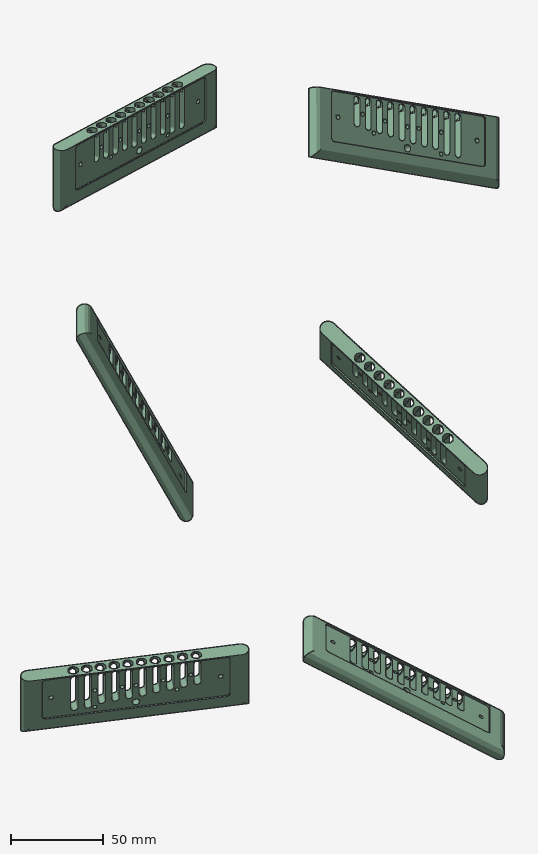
import cadquery as cq
LENGTH = 125.0
THICKNESS = 8.9
HEIGHT = 38.2
EDGE_RADIUS = THICKNESS / 2

RECESS_LENGTH = 103.0
RECESS_BOTTOM = 9.5
RECESS_TOP_MARGIN = 0.8
RECESS_DEPTH = 1.0
RECESS_CORNER_RADIUS = 2.0

CHAMBER_PITCH = 7.5
SLOT_WIDTH = 4.0
SLOT_TOP_MARGIN = 1.4
SLOT_BOTTOMS = [12.4, 12.8, 14.9, 15.2, 15.9, 16.5, 17.6, 18.4, 19.1, 20.0]
WIDE_TOP_HOLE_DIAMETER = 5.8
NARROW_TOP_HOLE_DIAMETER = 5.5
WIDE_TOP_HOLE_COUNT = 4
TOP_HOLE_DEPTH = 5.5

SCREW_HOLE_DIAMETER = 2.2
SCREW_HOLE_CENTERS = [
    (3 * CHAMBER_PITCH, 24.9),
    (CHAMBER_PITCH, 24.9),
    (0, 24.9),
    (-2 * CHAMBER_PITCH, 25.9),
    (-4 * CHAMBER_PITCH, 27.5),
    (3 * CHAMBER_PITCH, 12.9),
    (-3 * CHAMBER_PITCH, 18.1),
]
END_HOLE_DIAMETER = 2.5
END_HOLE_OFFSET = 46.5
END_HOLE_HEIGHT = 23.6
CENTER_HOLE_DIAMETER = 4.0
CENTER_HOLE_HEIGHT = 12.9


def plate():
    """Plate with full-round ends and a full-round bottom edge, mitred at the lower corners."""
    round_ended = cq.Workplane("XY").slot2D(LENGTH, THICKNESS, 90).extrude(HEIGHT)
    round_bottomed = (
        cq.Workplane("XZ")
        .moveTo(-EDGE_RADIUS, HEIGHT)
        .lineTo(-EDGE_RADIUS, EDGE_RADIUS)
        .threePointArc((0, 0), (EDGE_RADIUS, EDGE_RADIUS))
        .lineTo(EDGE_RADIUS, HEIGHT)
        .close()
        .extrude(LENGTH / 2, both=True)
    )
    return round_ended.intersect(round_bottomed)


def recess(side):
    """Recess volume on the -X (side = -1) or +X (side = 1) face."""
    recess_top = HEIGHT - RECESS_TOP_MARGIN
    return (
        cq.Workplane("YZ", origin=(side * THICKNESS / 2, 0, 0))
        .center(0, (RECESS_BOTTOM + recess_top) / 2)
        .rect(RECESS_LENGTH, recess_top - RECESS_BOTTOM)
        .extrude(-side * RECESS_DEPTH)
        .edges("|X")
        .fillet(RECESS_CORNER_RADIUS)
    )


def slot(y, slot_bottom):
    """Round-ended slot through the thickness."""
    slot_top = HEIGHT - SLOT_TOP_MARGIN
    return (
        cq.Workplane("YZ")
        .center(y, (slot_bottom + slot_top) / 2)
        .slot2D(slot_top - slot_bottom, SLOT_WIDTH, 90)
        .extrude(THICKNESS / 2, both=True)
    )


def top_hole(y, diameter):
    """Vertical hole from the top edge, with a floor that is half round across Y."""
    radius = diameter / 2
    floor_z = HEIGHT - TOP_HOLE_DEPTH
    bore = (
        cq.Workplane("XY", origin=(0, y, floor_z))
        .circle(radius)
        .extrude(TOP_HOLE_DEPTH)
    )
    round_floored = (
        cq.Workplane("YZ")
        .moveTo(y - radius, HEIGHT)
        .lineTo(y - radius, floor_z + radius)
        .threePointArc((y, floor_z), (y + radius, floor_z + radius))
        .lineTo(y + radius, HEIGHT)
        .close()
        .extrude(THICKNESS / 2, both=True)
    )
    return bore.intersect(round_floored)


def cross_holes(centers, diameter):
    """Round holes through the thickness at the given (y, z) centers."""
    return (
        cq.Workplane("YZ")
        .pushPoints(centers)
        .circle(diameter / 2)
        .extrude(THICKNESS / 2, both=True)
    )


result = plate()
for face_side in (-1, 1):
    result = result.cut(recess(face_side))

first_chamber_y = CHAMBER_PITCH * (len(SLOT_BOTTOMS) - 1) / 2
for index, bottom in enumerate(SLOT_BOTTOMS):
    chamber_y = first_chamber_y - index * CHAMBER_PITCH
    is_wide = index < WIDE_TOP_HOLE_COUNT
    hole_diameter = WIDE_TOP_HOLE_DIAMETER if is_wide else NARROW_TOP_HOLE_DIAMETER
    result = result.cut(slot(chamber_y, bottom))
    result = result.cut(top_hole(chamber_y, hole_diameter))

end_hole_centers = [(side * END_HOLE_OFFSET, END_HOLE_HEIGHT) for side in (-1, 1)]
result = result.cut(cross_holes(SCREW_HOLE_CENTERS, SCREW_HOLE_DIAMETER))
result = result.cut(cross_holes(end_hole_centers, END_HOLE_DIAMETER))
result = result.cut(cross_holes([(0, CENTER_HOLE_HEIGHT)], CENTER_HOLE_DIAMETER))